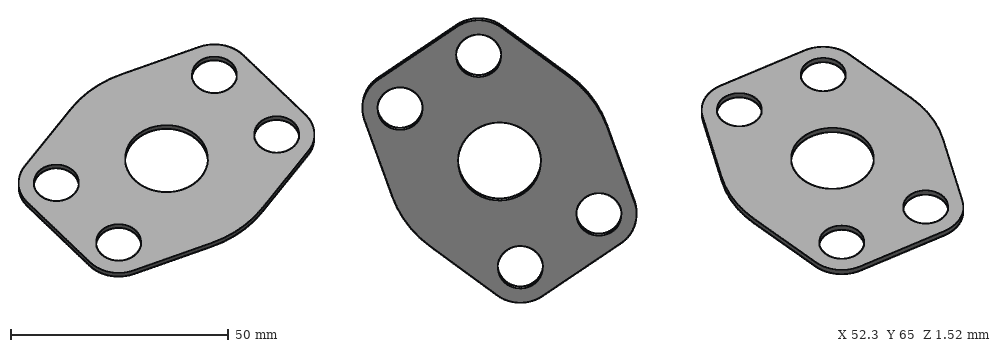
import cadquery as cq
import math

width = 52.32
length = 65.02
thickness = 1.52
bolt_spacing_x = 22.22
bolt_spacing_y = 47.63
bolt_hole_diameter = 10.36
bore_diameter = 19.05

bolt_x = bolt_spacing_x / 2
bolt_y = bolt_spacing_y / 2
corner_radius = length / 2 - bolt_y
side_radius = width / 2

bolt_distance = math.hypot(bolt_x, bolt_y)
bolt_angle = math.atan2(bolt_y, bolt_x)
tangent_angle = bolt_angle - math.acos((side_radius - corner_radius) / bolt_distance)


def corner_point(angle):
    """Point on the upper right corner arc at the given angle from +X."""
    return (
        bolt_x + corner_radius * math.cos(angle),
        bolt_y + corner_radius * math.sin(angle),
    )


def mirror_x(point):
    return (-point[0], point[1])


def mirror_y(point):
    return (point[0], -point[1])


def rotate_half_turn(point):
    return (-point[0], -point[1])


def make_plate():
    """Plate with flat ends, rounded corners and bulged sides, all tangent."""
    side_end = (side_radius * math.cos(tangent_angle), side_radius * math.sin(tangent_angle))
    corner_start = corner_point(tangent_angle)
    corner_middle = corner_point((tangent_angle + math.pi / 2) / 2)
    corner_end = corner_point(math.pi / 2)
    return (
        cq.Workplane("XY")
        .moveTo(*mirror_y(side_end))
        .threePointArc((side_radius, 0), side_end)
        .lineTo(*corner_start)
        .threePointArc(corner_middle, corner_end)
        .lineTo(*mirror_x(corner_end))
        .threePointArc(mirror_x(corner_middle), mirror_x(corner_start))
        .lineTo(*mirror_x(side_end))
        .threePointArc((-side_radius, 0), rotate_half_turn(side_end))
        .lineTo(*rotate_half_turn(corner_start))
        .threePointArc(rotate_half_turn(corner_middle), rotate_half_turn(corner_end))
        .lineTo(*mirror_y(corner_end))
        .threePointArc(mirror_y(corner_middle), mirror_y(corner_start))
        .close()
        .extrude(thickness)
    )


def cut_bore(plate):
    return plate.faces(">Z").workplane(origin=(0, 0, thickness)).hole(bore_diameter)


def cut_bolt_holes(plate):
    return (
        plate.faces(">Z")
        .workplane(origin=(0, 0, thickness))
        .rarray(bolt_spacing_x, bolt_spacing_y, 2, 2)
        .hole(bolt_hole_diameter)
    )


result = cut_bolt_holes(cut_bore(make_plate()))